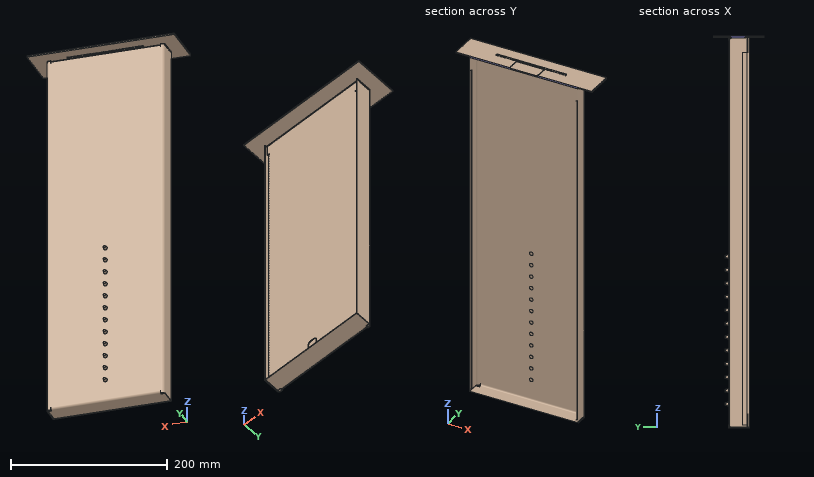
import cadquery as cq

total_height = 502.0
sheet = 1.0
outer_bend = 3.5
inner_bend = outer_bend - sheet

plate_width = 200.0
plate_depth = 65.0
plate_front = -plate_depth / 2
plate_back = plate_depth / 2
plate_thickness = 2.0
plate_bottom = total_height - plate_thickness

slot_width = 102.5
slot_front = 11.5
slot_back = 14.5
recess_width = 41.0
recess_front = -8.0
recess_depth = 0.5
recess_corner = 4.0

channel_width = 160.0
channel_inside = channel_width - 2 * sheet
channel_front = -14.0
channel_back = 13.0
end_fold_width = 148.5
upper_flange_front = -8.5

peg_count = 12
peg_row_height = 189.0
peg_pitch = peg_row_height / (peg_count - 1)
lowest_peg = 30.5
peg_base_radius = 2.5
peg_tip_radius = 1.5
peg_length = 4.5

cover_width = 156.0
cover_front = -11.5
cover_bottom = 2.5
cover_flange_bottom = 4.0
cover_flange_top = 480.5
cover_flange_back = -5.0
cover_corner_width = cover_width - 2 * outer_bend
notch_width = 14.0
notch_top = 17.5
notch_corner = 5.0


def block(width, y_front, y_back, z_low, z_high):
    """Box centred on X = 0 between the given Y and Z limits."""
    return (
        cq.Workplane("XY")
        .box(width, y_back - y_front, z_high - z_low, centered=(True, False, False))
        .translate((0, y_front, z_low))
    )


def folded_channel():
    """Back wall and side walls, folded along the two upright back edges."""
    outside = block(channel_width, channel_front, channel_back, 0, plate_bottom)
    inside = block(channel_inside, channel_front, channel_back - sheet, 0, plate_bottom)
    outside = outside.edges("|Z and >Y").fillet(outer_bend)
    inside = inside.edges("|Z and >Y").fillet(inner_bend)
    channel = outside.cut(inside)
    for z_low in (0, plate_bottom - outer_bend):
        channel = channel.cut(
            block(end_fold_width, channel_back - outer_bend, channel_back, z_low, z_low + outer_bend)
        )
    return channel


def end_flange(flange_front):
    """Lower fold of the back wall with its flat flange running forward to flange_front."""
    fold_start = channel_back - outer_bend
    pipe = (
        cq.Workplane("YZ")
        .center(fold_start, outer_bend)
        .circle(outer_bend)
        .circle(inner_bend)
        .extrude(end_fold_width / 2, both=True)
    )
    fold = pipe.intersect(block(end_fold_width, fold_start, channel_back, 0, outer_bend))
    flat = block(channel_inside, flange_front, fold_start, 0, sheet)
    return fold.union(flat)


def top_plate():
    """Plate with a through slot and a shallow finger recess in front of it."""
    plate = block(plate_width, plate_front, plate_back, plate_bottom, total_height)
    slot = block(slot_width, slot_front, slot_back, plate_bottom, total_height)
    recess = block(recess_width, recess_front, slot_front, total_height - recess_depth, total_height)
    recess = recess.edges("|Z and <Y").fillet(recess_corner)
    return plate.cut(slot).cut(recess)


def back_peg(z):
    """Tapered peg that stands out of the back wall at height z."""
    peg = cq.Solid.makeCone(
        peg_base_radius,
        peg_tip_radius,
        peg_length,
        pnt=cq.Vector(0, channel_back, z),
        dir=cq.Vector(0, 1, 0),
    )
    return cq.Workplane("XY").add(peg)


def make_housing():
    """Folded channel with end flanges, top plate and back pegs."""
    lower_flange = end_flange(channel_front)
    upper_flange = end_flange(upper_flange_front).mirror("XY").translate((0, 0, plate_bottom))
    body = folded_channel().union(lower_flange).union(upper_flange).union(top_plate())
    for index in range(peg_count):
        body = body.union(back_peg(lowest_peg + index * peg_pitch))
    return body


def make_cover():
    """Front sheet with side flanges folded backward and a cable notch at the foot."""
    cover_back = cover_front + sheet
    folded = block(cover_width, cover_front, cover_flange_back, cover_flange_bottom, cover_flange_top)
    folded = folded.edges("|Z and <Y").fillet(outer_bend)
    hollow = block(
        cover_width - 2 * sheet, cover_back, cover_flange_back, cover_flange_bottom, cover_flange_top
    )
    hollow = hollow.edges("|Z and <Y").fillet(inner_bend)
    head = block(cover_width, cover_front, cover_back, cover_flange_top, plate_bottom)
    foot = block(cover_corner_width, cover_front, cover_back, cover_bottom, cover_flange_bottom)
    notch = block(notch_width, cover_front, cover_back, cover_bottom, notch_top)
    notch = notch.edges("|Y and >Z").fillet(notch_corner)
    return folded.cut(hollow).union(head).union(foot).cut(notch)


housing = make_housing()
cover = make_cover()

result = cq.Compound.makeCompound([housing.val(), cover.val()])